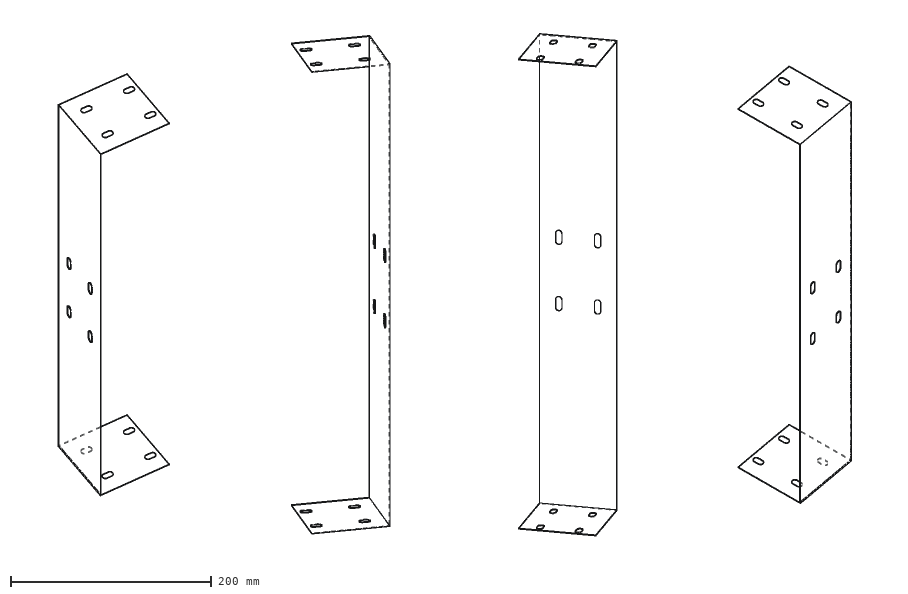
import cadquery as cq

width = 80.0
depth = 81.0
height = 496.5
sheet = 1.0

slot_width = 6.5
slot_spacing_x = 40.0
web_slot_length = 15.0
web_slot_spacing_z = 70.0
flange_slot_length = 12.0
flange_slot_spacing_y = 50.0
flange_slot_edge_distance = 10.0

web_face_y = -depth / 2
free_edge_y = depth / 2
flange_slots_y = free_edge_y - flange_slot_edge_distance - flange_slot_spacing_y / 2


def bent_sheet():
    """Web with two flanges toward +Y, folded to square corners."""
    outer = cq.Workplane("XY").box(width, depth, height)
    cavity = cq.Workplane("XY").box(width, depth, height - 2 * sheet).translate((0, sheet, 0))
    return outer.cut(cavity)


def web_slots():
    """Four upright slots through the web."""
    return (
        cq.Workplane("XZ", origin=(0, web_face_y, 0))
        .rarray(slot_spacing_x, web_slot_spacing_z, 2, 2)
        .slot2D(web_slot_length, slot_width, 90)
        .extrude(sheet, both=True)
    )


def flange_slots():
    """Four slots along Y that pass through both flanges."""
    return (
        cq.Workplane("XY", origin=(0, flange_slots_y, 0))
        .rarray(slot_spacing_x, flange_slot_spacing_y, 2, 2)
        .slot2D(flange_slot_length, slot_width, 90)
        .extrude(height, both=True)
    )


result = bent_sheet().cut(web_slots()).cut(flange_slots())